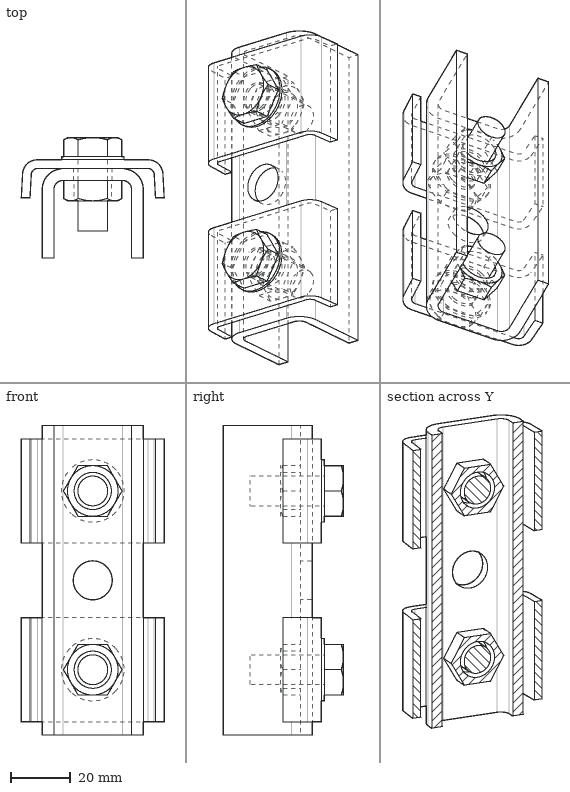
import cadquery as cq
import math


channel_length = 104.0
channel_width = 34.0
channel_depth = 30.0
channel_thickness = 4.0
channel_inner_radius = 3.0
centre_hole_diameter = 13.0

clamp_length = 35.0
clamp_width = 48.04
clamp_thickness = 3.0
clamp_inner_radius = 2.0
clamp_bend_angle = 87.0
clamp_depth = 12.85

bolt_spacing = 60.0
bolt_diameter = 10.0
bolt_length = 25.0
hex_across_flats = 17.0
hex_chamfer_angle = 30.0
head_height = 6.4
nut_height = 6.8
nut_bore_diameter = 12.5
washer_diameter = 21.0
washer_thickness = 1.0

bolt_heights = (-bolt_spacing / 2, bolt_spacing / 2)
clamp_top = clamp_thickness
head_seat = clamp_top + washer_thickness
nut_seat = -channel_thickness


def cylinder_along_y(diameter, y_start, y_end, z):
    """Cylinder on the bolt axis at height z, from y_start up to y_end."""
    base = cq.Workplane("XZ", origin=(0, y_end, z))
    return base.circle(diameter / 2).extrude(y_end - y_start)


def bent_strip(half_flat, top, thickness, inner_radius, bend_angle, depth, length):
    """Sheet with both edges bent into lips toward -Y, extruded along Z about Z = 0.

    The lips end square to Y, at the given depth below the top face.
    """
    outer_radius = inner_radius + thickness
    bend_centre_y = top - outer_radius
    lip_end_y = top - depth
    bend = math.radians(bend_angle)

    def bend_point(side, radius, angle):
        x = half_flat + radius * math.sin(angle)
        return (side * x, bend_centre_y + radius * math.cos(angle))

    def lip_end(side, radius):
        x, y = bend_point(side, radius, bend)
        return (x + side * (y - lip_end_y) / math.tan(bend), lip_end_y)

    profile = (
        cq.Workplane("XY", origin=(0, 0, -length / 2))
        .moveTo(*bend_point(-1, outer_radius, 0))
        .lineTo(*bend_point(1, outer_radius, 0))
        .threePointArc(bend_point(1, outer_radius, bend / 2), bend_point(1, outer_radius, bend))
        .lineTo(*lip_end(1, outer_radius))
        .lineTo(*lip_end(1, inner_radius))
        .lineTo(*bend_point(1, inner_radius, bend))
        .threePointArc(bend_point(1, inner_radius, bend / 2), bend_point(1, inner_radius, 0))
        .lineTo(*bend_point(-1, inner_radius, 0))
        .threePointArc(bend_point(-1, inner_radius, bend / 2), bend_point(-1, inner_radius, bend))
        .lineTo(*lip_end(-1, inner_radius))
        .lineTo(*lip_end(-1, outer_radius))
        .lineTo(*bend_point(-1, outer_radius, bend))
        .threePointArc(bend_point(-1, outer_radius, bend / 2), bend_point(-1, outer_radius, 0))
        .close()
    )
    return profile.extrude(length)


def hex_block(height):
    """Hexagon along +Z from Z = 0, corners on X, with its far end chamfered by a cone."""
    corner_diameter = hex_across_flats / math.cos(math.pi / 6)
    corner_radius = corner_diameter / 2
    chamfer_radius = hex_across_flats / 2
    chamfer_drop = (corner_radius - chamfer_radius) * math.tan(math.radians(hex_chamfer_angle))
    envelope = (
        cq.Workplane("XZ")
        .polyline(
            [
                (0, 0),
                (corner_radius, 0),
                (corner_radius, height - chamfer_drop),
                (chamfer_radius, height),
                (0, height),
            ]
        )
        .close()
        .revolve(360, (0, 0), (0, 1))
    )
    return cq.Workplane("XY").polygon(6, corner_diameter).extrude(height).intersect(envelope)


def make_channel():
    outer_radius = channel_inner_radius + channel_thickness
    channel = bent_strip(
        half_flat=channel_width / 2 - outer_radius,
        top=0,
        thickness=channel_thickness,
        inner_radius=channel_inner_radius,
        bend_angle=90.0,
        depth=channel_depth,
        length=channel_length,
    )
    channel = channel.cut(cylinder_along_y(centre_hole_diameter, nut_seat, 0, 0))
    for z in bolt_heights:
        channel = channel.cut(cylinder_along_y(bolt_diameter, nut_seat, 0, z))
    return channel


def make_clamp(z):
    bend = math.radians(clamp_bend_angle)
    outer_radius = clamp_inner_radius + clamp_thickness
    lip_height = clamp_depth - outer_radius * (1 - math.cos(bend))
    bend_reach = outer_radius * math.sin(bend) + lip_height / math.tan(bend)
    clamp = bent_strip(
        half_flat=clamp_width / 2 - bend_reach,
        top=clamp_top,
        thickness=clamp_thickness,
        inner_radius=clamp_inner_radius,
        bend_angle=clamp_bend_angle,
        depth=clamp_depth,
        length=clamp_length,
    ).translate((0, 0, z))
    return clamp.cut(cylinder_along_y(bolt_diameter, 0, clamp_top, z))


def make_washer(z):
    washer = cylinder_along_y(washer_diameter, clamp_top, head_seat, z)
    return washer.cut(cylinder_along_y(bolt_diameter, clamp_top, head_seat, z))


def make_bolt(z):
    head = hex_block(head_height).rotate((0, 0, 0), (1, 0, 0), -90).translate((0, head_seat, z))
    shank = cylinder_along_y(bolt_diameter, head_seat - bolt_length, head_seat, z)
    return head.union(shank)


def make_nut(z):
    bore = cq.Workplane("XY").circle(nut_bore_diameter / 2).extrude(nut_height)
    nut = hex_block(nut_height).cut(bore)
    return nut.rotate((0, 0, 0), (1, 0, 0), 90).translate((0, nut_seat, z))


channel = make_channel()
bodies = [channel.val()]
for bolt_z in bolt_heights:
    clamp = make_clamp(bolt_z)
    washer = make_washer(bolt_z)
    bolt = make_bolt(bolt_z)
    nut = make_nut(bolt_z)
    bodies += [clamp.val(), washer.val(), bolt.val(), nut.val()]

result = cq.Compound.makeCompound(bodies)